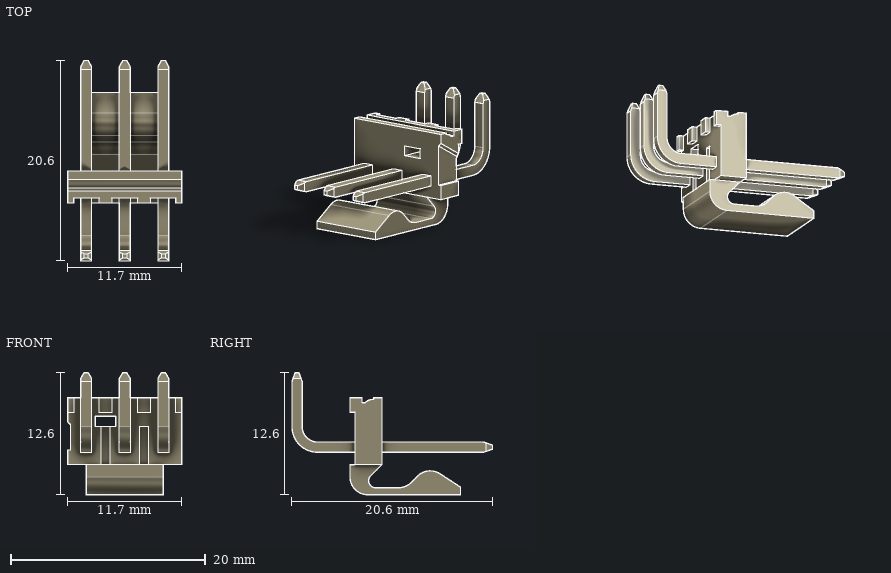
import cadquery as cq
import math


PITCH = 3.96
PIN_COUNT = 3
PIN_WIDTH = 1.14
PIN_THICKNESS = 1.07
PIN_BOTTOM = 4.365
PIN_TOP = 12.55
PIN_FRONT = -6.46
PIN_BACK = 14.14
BEND_INNER_RADIUS = 1.57
BEND_OUTER_RADIUS = BEND_INNER_RADIUS + PIN_THICKNESS
TIP_FLAT = 0.42
STEEP_TIP_LENGTH = 0.92
TOP_BLUNT_TIP_LENGTH = 0.6
BACK_BLUNT_TIP_LENGTH = 0.66

HOUSING_WIDTH = 11.73
HOUSING_DEPTH = 2.79
HOUSING_BOTTOM = 3.12
HOUSING_TOP = 9.98
LEFT_FACE = -HOUSING_WIDTH / 2
RIGHT_FACE = HOUSING_WIDTH / 2

TAB_WIDTH = 1.32
END_TAB_WIDTH = 0.64
TAB_HEIGHT = 1.5
TAB_DEPTH = 0.51

GROOVE_FRONT = 0.76
GROOVE_FLAT_END = 1.06
GROOVE_BACK = 1.93
GROOVE_DEPTH = 0.5
GROOVE_SHALLOW_DEPTH = 0.16

WINDOW_WIDTH = 2.07
WINDOW_HEIGHT = 1.02
SLOT_WIDTH = 0.94
SLOT_DEPTH = 0.48
SLOT_TOP = 7.04

NOTCH_DEPTH = 0.3
NOTCH_BOTTOM = 4.61
NOTCH_FRONT_TOP = 7.5
NOTCH_BACK_TOP = 9.04
NOTCH_BEVEL = 0.32

LATCH_WIDTH = 2 * PITCH
LATCH_THICKNESS = 0.75
LATCH_TIP_Y = 10.86
LATCH_TIP_HEIGHT = 0.8
LATCH_HEEL_RADIUS = 1.86
LATCH_THROAT_RADIUS = 0.71
LATCH_VALLEY_Y = 5.25
LATCH_CURVE_RADIUS = 1.81
LATCH_RAMP_ANGLE = 33

pin_centers = [(i - (PIN_COUNT - 1) / 2) * PITCH for i in range(PIN_COUNT)]
gap_centers = [x + PITCH / 2 for x in pin_centers[:-1]]


def box(x_min, x_max, y_min, y_max, z_min, z_max):
    size = (x_max - x_min, y_max - y_min, z_max - z_min)
    return cq.Workplane("XY").box(*size, centered=False).translate((x_min, y_min, z_min))


def step_toward(start, end, distance):
    """Point at a given distance from start on the line to end."""
    ratio = distance / math.dist(start, end)
    return tuple(s + (e - s) * ratio for s, e in zip(start, end))


def corner_arc(before, corner, after, radius):
    """Start, middle and end of the arc that rounds a corner between two straight sides."""
    toward_before = step_toward(corner, before, 1)
    toward_after = step_toward(corner, after, 1)
    half_angle = math.asin(math.dist(toward_before, toward_after) / 2)
    setback = radius / math.tan(half_angle)
    bisector = tuple((b + a) / 2 for b, a in zip(toward_before, toward_after))
    middle = step_toward(corner, bisector, radius / math.sin(half_angle) - radius)
    return step_toward(corner, before, setback), middle, step_toward(corner, after, setback)


def rounded_prism(corners, width):
    """Prism centred on x = 0 from (y, z, radius) corners. The first corner has to be sharp."""
    points = [(y, z) for y, z, _ in corners]
    outline = cq.Workplane("YZ").moveTo(*points[0])
    for i in range(1, len(corners)):
        radius = corners[i][2]
        if radius == 0:
            outline = outline.lineTo(*points[i])
        else:
            start, middle, end = corner_arc(points[i - 1], points[i], points[(i + 1) % len(points)], radius)
            outline = outline.lineTo(*start).threePointArc(middle, end)
    return outline.close().extrude(width / 2, both=True)


def make_housing():
    housing = box(LEFT_FACE, RIGHT_FACE, 0, HOUSING_DEPTH, HOUSING_BOTTOM, HOUSING_TOP)
    tab_spans = [(x - TAB_WIDTH / 2, x + TAB_WIDTH / 2) for x in gap_centers]
    tab_spans.append((LEFT_FACE, LEFT_FACE + END_TAB_WIDTH))
    tab_spans.append((RIGHT_FACE - END_TAB_WIDTH, RIGHT_FACE))
    for x_min, x_max in tab_spans:
        tab = box(x_min, x_max, -TAB_DEPTH, 0, HOUSING_TOP - TAB_HEIGHT, HOUSING_TOP)
        housing = housing.union(tab)
    return housing


def make_top_groove():
    """Groove along X: a flat floor in front, then a convex arc that ends level at a shallow step."""
    floor_z = HOUSING_TOP - GROOVE_DEPTH
    step_z = HOUSING_TOP - GROOVE_SHALLOW_DEPTH
    arc_run = GROOVE_BACK - GROOVE_FLAT_END
    arc_rise = step_z - floor_z
    arc_radius = (arc_run**2 + arc_rise**2) / (2 * arc_rise)
    half_sweep = math.asin(arc_run / arc_radius) / 2
    arc_middle = (
        GROOVE_BACK - arc_radius * math.sin(half_sweep),
        step_z - arc_radius * (1 - math.cos(half_sweep)),
    )
    return (
        cq.Workplane("YZ")
        .moveTo(GROOVE_FRONT, HOUSING_TOP)
        .lineTo(GROOVE_FRONT, floor_z)
        .lineTo(GROOVE_FLAT_END, floor_z)
        .threePointArc(arc_middle, (GROOVE_BACK, step_z))
        .lineTo(GROOVE_BACK, HOUSING_TOP)
        .close()
        .extrude(HOUSING_WIDTH / 2, both=True)
    )


def make_window():
    """Opening through the housing, in the first gap only."""
    x = gap_centers[0]
    half_width = WINDOW_WIDTH / 2
    return box(x - half_width, x + half_width, 0, HOUSING_DEPTH, SLOT_TOP, SLOT_TOP + WINDOW_HEIGHT)


def make_front_slots():
    slots = cq.Workplane("XY")
    for x in gap_centers:
        slot = box(x - SLOT_WIDTH / 2, x + SLOT_WIDTH / 2, 0, SLOT_DEPTH, HOUSING_BOTTOM, SLOT_TOP)
        slots = slots.add(slot)
    return slots.combine()


def make_side_notch():
    """Notch whose bevelled upper end climbs from the front face to the back face."""

    def section(y, top):
        return cq.Wire.makePolygon(
            [
                cq.Vector(LEFT_FACE, y, NOTCH_BOTTOM),
                cq.Vector(LEFT_FACE + NOTCH_DEPTH, y, NOTCH_BOTTOM),
                cq.Vector(LEFT_FACE + NOTCH_DEPTH, y, top - NOTCH_BEVEL),
                cq.Vector(LEFT_FACE, y, top),
            ],
            close=True,
        )

    sections = [section(0, NOTCH_FRONT_TOP), section(HOUSING_DEPTH, NOTCH_BACK_TOP)]
    return cq.Workplane(cq.Solid.makeLoft(sections, True))


def make_latch():
    """Hooked spring arm: heel under the housing, flat arm, then a hump that ramps down to the tip."""
    ramp_slope = math.tan(math.radians(LATCH_RAMP_ANGLE))
    ramp_height_over_valley = LATCH_TIP_HEIGHT + ramp_slope * (LATCH_TIP_Y - LATCH_VALLEY_Y)
    hump_run = (ramp_height_over_valley - LATCH_THICKNESS) / (1 + ramp_slope)
    throat_y = HOUSING_DEPTH - (HOUSING_BOTTOM - LATCH_THICKNESS)
    corners = [
        (-TAB_DEPTH, HOUSING_BOTTOM, 0),
        (-TAB_DEPTH, 0, LATCH_HEEL_RADIUS),
        (LATCH_TIP_Y, 0, 0),
        (LATCH_TIP_Y, LATCH_TIP_HEIGHT, 0),
        (LATCH_VALLEY_Y + hump_run, LATCH_THICKNESS + hump_run, LATCH_CURVE_RADIUS),
        (LATCH_VALLEY_Y, LATCH_THICKNESS, LATCH_CURVE_RADIUS),
        (throat_y, LATCH_THICKNESS, LATCH_THROAT_RADIUS),
        (HOUSING_DEPTH, HOUSING_BOTTOM, 0),
    ]
    return rounded_prism(corners, LATCH_WIDTH)


def make_pin():
    """L-shaped pin at x = 0 with a pointed end on each leg."""
    pin_upper = PIN_BOTTOM + PIN_THICKNESS
    pin_inner = PIN_FRONT + PIN_THICKNESS
    half_flat = TIP_FLAT / 2
    leg_y = PIN_FRONT + PIN_THICKNESS / 2
    leg_z = PIN_BOTTOM + PIN_THICKNESS / 2
    pin = rounded_prism(
        [
            (PIN_FRONT, PIN_TOP - STEEP_TIP_LENGTH, 0),
            (PIN_FRONT, PIN_BOTTOM, BEND_OUTER_RADIUS),
            (PIN_BACK - STEEP_TIP_LENGTH, PIN_BOTTOM, 0),
            (PIN_BACK, leg_z - half_flat, 0),
            (PIN_BACK, leg_z + half_flat, 0),
            (PIN_BACK - STEEP_TIP_LENGTH, pin_upper, 0),
            (pin_inner, pin_upper, BEND_INNER_RADIUS),
            (pin_inner, PIN_TOP - STEEP_TIP_LENGTH, 0),
            (leg_y + half_flat, PIN_TOP, 0),
            (leg_y - half_flat, PIN_TOP, 0),
        ],
        PIN_WIDTH,
    )
    for sign in (-1, 1):
        edge = sign * PIN_WIDTH / 2
        flat = sign * half_flat
        top_wedge = (
            cq.Workplane("XZ", origin=(0, leg_y, 0))
            .polyline([(edge, PIN_TOP - TOP_BLUNT_TIP_LENGTH), (edge, PIN_TOP), (flat, PIN_TOP)])
            .close()
            .extrude(PIN_THICKNESS, both=True)
        )
        back_wedge = (
            cq.Workplane("XY", origin=(0, 0, leg_z))
            .polyline([(edge, PIN_BACK - BACK_BLUNT_TIP_LENGTH), (edge, PIN_BACK), (flat, PIN_BACK)])
            .close()
            .extrude(PIN_THICKNESS, both=True)
        )
        pin = pin.cut(top_wedge).cut(back_wedge)
    return pin


result = make_housing()
result = result.cut(make_top_groove())
result = result.cut(make_window())
result = result.cut(make_front_slots())
result = result.cut(make_side_notch())
result = result.union(make_latch())
header_pin = make_pin()
for pin_x in pin_centers:
    result = result.union(header_pin.translate((pin_x, 0, 0)))